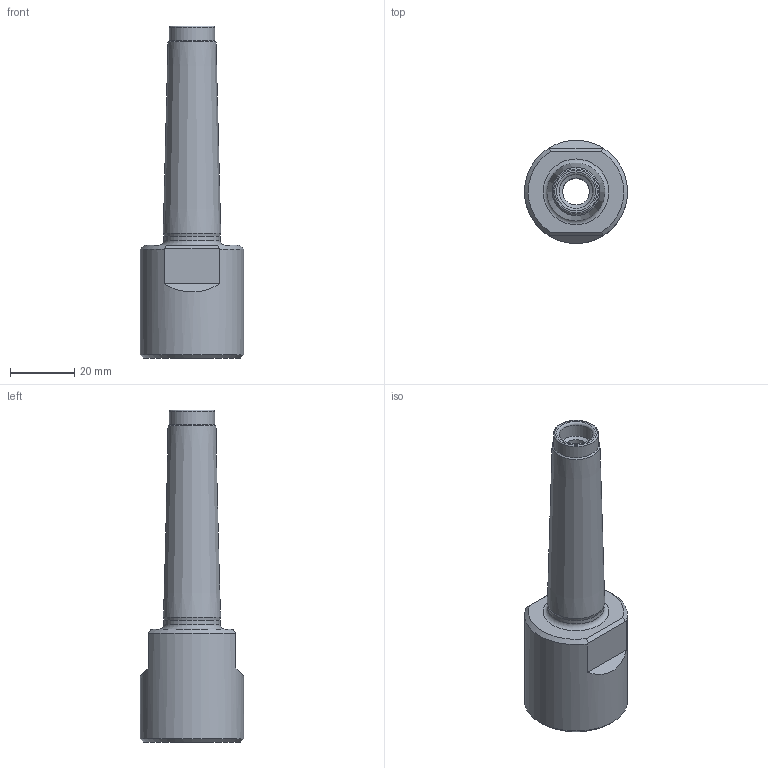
import cadquery as cq
import math

body_diameter = 32.0
body_height = 35.0
bottom_chamfer = 1.0
shoulder_chamfer = 1.2

across_flats = 27.0
flat_bottom_z = 23.0
flat_chamfer = 1.0

neck_diameter = 17.4
neck_fillet = 1.5
neck_top_z = 37.8

gauge_diameter = 17.78
gauge_plane_height = 5.0
taper_bottom_z = 38.7
taper_ratio = 1 / 20.02
overall_height = 103.0

tip_diameter = 14.0
tip_length = 4.5
tip_rounding = 0.4

bore_diameter = 8.38
counterbore_diameter = 10.5
counterbore_depth = 5.0
counterbore_rounding = 0.8
drill_point_angle = 120.0


def taper_radius_at(z):
    """Radius of the taper surface at height z."""
    gauge_z = body_height + gauge_plane_height
    return gauge_diameter / 2 - (z - gauge_z) * taper_ratio / 2


def make_outer_shape():
    """Revolve the half profile of body, neck, taper and tip about Z."""
    body_radius = body_diameter / 2
    neck_radius = neck_diameter / 2
    tip_radius = tip_diameter / 2
    tip_bottom_z = overall_height - tip_length

    tip_chamfer = (taper_radius_at(tip_bottom_z) - tip_radius) / (1 - taper_ratio / 2)

    profile = (
        cq.Workplane("XZ")
        .moveTo(0, 0)
        .lineTo(body_radius - bottom_chamfer, 0)
        .lineTo(body_radius, bottom_chamfer)
        .lineTo(body_radius, body_height - shoulder_chamfer)
        .lineTo(body_radius - shoulder_chamfer, body_height)
        .lineTo(neck_radius + neck_fillet, body_height)
        .radiusArc((neck_radius, body_height + neck_fillet), neck_fillet)
        .lineTo(neck_radius, neck_top_z)
        .lineTo(taper_radius_at(taper_bottom_z), taper_bottom_z)
        .lineTo(tip_radius + tip_chamfer, tip_bottom_z - tip_chamfer)
        .lineTo(tip_radius, tip_bottom_z)
        .lineTo(tip_radius, overall_height - tip_rounding)
        .radiusArc((tip_radius - tip_rounding, overall_height), -tip_rounding)
        .lineTo(0, overall_height)
        .close()
    )
    return profile.revolve(360, (0, 0, 0), (0, 1, 0))


def make_flat_cutter(side):
    """Solid removed for one wrench flat; side is -1 or +1 along Y."""
    flat_y = across_flats / 2
    clear_y = body_diameter
    runout = clear_y - flat_y
    return (
        cq.Workplane("YZ")
        .polyline([
            (side * (flat_y - flat_chamfer), body_height),
            (side * flat_y, body_height - flat_chamfer),
            (side * flat_y, flat_bottom_z),
            (side * clear_y, flat_bottom_z - runout),
            (side * clear_y, body_height),
        ])
        .close()
        .extrude(body_diameter / 2, both=True)
    )


def make_bore():
    """Through bore with a rounded counterbore that ends in a drill point cone."""
    bore_radius = bore_diameter / 2
    counterbore_radius = counterbore_diameter / 2
    floor_z = overall_height - counterbore_depth
    half_angle = math.radians(drill_point_angle / 2)
    cone_height = (counterbore_radius - bore_radius) / math.tan(half_angle)
    rim_z = overall_height - counterbore_rounding
    profile = (
        cq.Workplane("XZ")
        .moveTo(0, 0)
        .lineTo(bore_radius, 0)
        .lineTo(bore_radius, floor_z - cone_height)
        .lineTo(counterbore_radius, floor_z)
        .lineTo(counterbore_radius, rim_z)
        .radiusArc((counterbore_radius + counterbore_rounding, overall_height), counterbore_rounding)
        .lineTo(0, overall_height)
        .close()
    )
    return profile.revolve(360, (0, 0, 0), (0, 1, 0))


result = make_outer_shape()
for side in (-1, 1):
    result = result.cut(make_flat_cutter(side))
result = result.cut(make_bore())